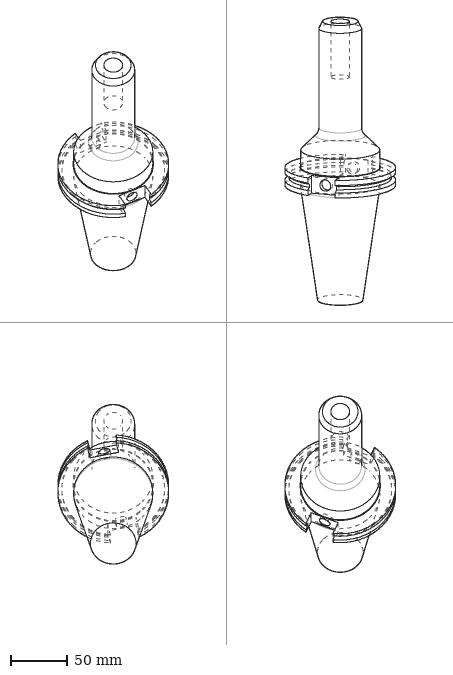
import cadquery as cq
import math

total_height = 254.0
taper_height = 101.9
flange_bottom = 105.0
flange_top = 121.0
shoulder_height = 137.0
tip_chamfer_height = 6.4

taper_ratio = 7 / 24
collar_radius = 35.0
taper_end_radius = collar_radius - taper_height * taper_ratio / 2
flange_radius = 98.3 / 2
shank_radius = 19.0
tip_radius = 15.7

step_radius = 35.5
step_height = 0.3

groove_center = (flange_bottom + flange_top) / 2
groove_width = 6.9
groove_depth = 3.5
groove_wall_angle = math.radians(30)

blend_radius = 9.7
cone_angle = math.radians(45)

slot_width = 26.0
left_slot_floor = 37.8
right_slot_floor = 35.5
side_hole_diameter = 10.2
side_hole_depth = 5.0
bore_diameter = 16.5
bore_depth = 50.8


def turned_body():
    groove_half = groove_width / 2
    floor_half = groove_half - groove_depth * math.tan(groove_wall_angle)
    floor_radius = flange_radius - groove_depth

    blend_center_radius = shank_radius + blend_radius
    cone_top_radius = blend_center_radius - blend_radius * math.cos(cone_angle)
    cone_top = shoulder_height + (collar_radius - cone_top_radius) / math.tan(cone_angle)
    blend_top = cone_top + blend_radius * math.sin(cone_angle)
    blend_middle = (
        blend_center_radius - blend_radius * math.cos(cone_angle / 2),
        blend_top - blend_radius * math.sin(cone_angle / 2),
    )

    profile = (
        cq.Workplane("XZ")
        .moveTo(0, 0)
        .lineTo(taper_end_radius, 0)
        .lineTo(collar_radius, taper_height)
        .lineTo(collar_radius, flange_bottom)
        .lineTo(flange_radius, flange_bottom)
        .lineTo(flange_radius, groove_center - groove_half)
        .lineTo(floor_radius, groove_center - floor_half)
        .lineTo(floor_radius, groove_center + floor_half)
        .lineTo(flange_radius, groove_center + groove_half)
        .lineTo(flange_radius, flange_top)
        .lineTo(step_radius, flange_top)
        .lineTo(step_radius, flange_top + step_height)
        .lineTo(collar_radius, flange_top + step_height)
        .lineTo(collar_radius, shoulder_height)
        .lineTo(cone_top_radius, cone_top)
        .threePointArc(blend_middle, (shank_radius, blend_top))
        .lineTo(shank_radius, total_height - tip_chamfer_height)
        .lineTo(tip_radius, total_height)
        .lineTo(0, total_height)
        .close()
    )
    return profile.revolve(360, (0, 0, 0), (0, 1, 0))


def drive_slot(side, slot_floor):
    """Flat-floored slot through the flange; side is -1 or +1 along X."""
    slot_depth = flange_radius - slot_floor
    return (
        cq.Workplane("XY")
        .box(slot_depth, slot_width, flange_top - flange_bottom)
        .translate((side * (slot_floor + slot_depth / 2), 0, groove_center))
    )


def side_hole(side, slot_floor):
    """Blind radial hole in the floor of a drive slot."""
    start = cq.Vector(side * slot_floor, 0, groove_center)
    inward = cq.Vector(-side, 0, 0)
    return cq.Workplane(cq.Solid.makeCylinder(side_hole_diameter / 2, side_hole_depth, start, inward))


def add_bore(body):
    return body.faces(">Z").workplane().hole(bore_diameter, bore_depth)


result = add_bore(turned_body())
for side, slot_floor in ((-1, left_slot_floor), (1, right_slot_floor)):
    result = result.cut(drive_slot(side, slot_floor))
    result = result.cut(side_hole(side, slot_floor))